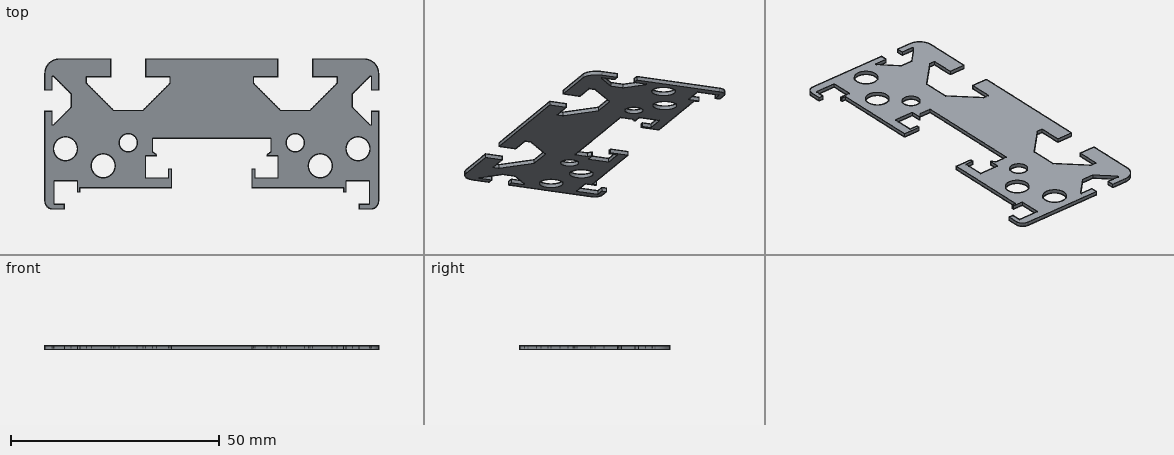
import cadquery as cq

length = 80.0
width = 36.0
thickness = 1.0
half_length = length / 2
upper_corner_radius = 3.5
lower_corner_radius = 2.0

top_slot_x = 20.0
top_slot_opening = 8.3
top_slot_lip = 4.3
top_slot_cavity_width = 20.0
top_slot_floor_width = 7.0
top_slot_depth = 12.3

end_slot_y = 26.0
end_slot_opening = 5.0
end_slot_lip = 1.8
end_slot_cavity_width = 11.6
end_slot_floor_width = 3.2
end_slot_depth = 6.3

underside_y = 5.1
recess_top_y = 17.0
recess_half_width = 14.2
tooth_half_width = 13.2
tooth_root_y = 13.8
tooth_tip_y = 13.0
tooth_base_y = 12.8
pocket_half_width = 15.8
pocket_floor_y = 7.5
lip_inner_half_width = 9.6
lip_outer_half_width = 10.4
lip_top_y = 9.7

corner_wall = 2.2
corner_pocket_width = 5.6
corner_pocket_top_y = 6.8
hook_thickness = 1.2
hook_reach = 4.7
nib_width = 0.6
nib_bottom_y = 4.1

large_hole = 5.7
small_hole = 4.3
holes = [
    (35.0, 14.5, large_hole),
    (26.0, 10.4, large_hole),
    (top_slot_x, 15.9, small_hole),
]


def extrude_outline(points):
    return cq.Workplane("XY").polyline(points).close().extrude(thickness)


def both_sides(solid):
    return solid.union(solid.mirror("YZ"))


def slot_cutter(opening, lip, cavity_width, floor_width, depth):
    """T-slot entering along -Y from an edge at Y = 0, centred on X = 0."""
    flank = (cavity_width - floor_width) / 2
    right_side = [
        (opening / 2, 0),
        (opening / 2, -lip),
        (cavity_width / 2, -lip),
        (cavity_width / 2, flank - depth),
        (floor_width / 2, -depth),
    ]
    left_side = [(-x, y) for x, y in reversed(right_side)]
    return extrude_outline(right_side + left_side)


def make_plate():
    plate = cq.Workplane("XY").box(length, width, thickness, centered=(True, False, False))
    plate = plate.edges("|Z and >Y").fillet(upper_corner_radius)
    return plate.edges("|Z and <Y").fillet(lower_corner_radius)


def make_top_slots():
    slot = slot_cutter(
        top_slot_opening, top_slot_lip, top_slot_cavity_width, top_slot_floor_width, top_slot_depth
    )
    return both_sides(slot.translate((top_slot_x, width, 0)))


def make_end_slots():
    slot = slot_cutter(
        end_slot_opening, end_slot_lip, end_slot_cavity_width, end_slot_floor_width, end_slot_depth
    )
    slot = slot.rotate((0, 0, 0), (0, 0, 1), -90)
    return both_sides(slot.translate((half_length, end_slot_y, 0)))


def make_lower_cutout():
    """Rail recess, step up to the underside and corner pocket as one region."""
    pocket_outer = half_length - corner_wall
    pocket_inner = pocket_outer - corner_pocket_width
    nib_inner = pocket_inner - nib_width
    hook_end = half_length - hook_reach
    right_half = extrude_outline([
        (0, 0),
        (0, recess_top_y),
        (recess_half_width, recess_top_y),
        (recess_half_width, tooth_root_y),
        (tooth_half_width, tooth_tip_y),
        (tooth_half_width, tooth_base_y),
        (pocket_half_width, tooth_base_y),
        (pocket_half_width, pocket_floor_y),
        (lip_outer_half_width, pocket_floor_y),
        (lip_outer_half_width, lip_top_y),
        (lip_inner_half_width, lip_top_y),
        (lip_inner_half_width, underside_y),
        (nib_inner, underside_y),
        (nib_inner, nib_bottom_y),
        (pocket_inner, nib_bottom_y),
        (pocket_inner, corner_pocket_top_y),
        (pocket_outer, corner_pocket_top_y),
        (pocket_outer, hook_thickness),
        (hook_end, hook_thickness),
        (hook_end, 0),
    ])
    return both_sides(right_half)


def make_holes():
    cutters = cq.Workplane("XY")
    for x, y, diameter in holes:
        cutters = cutters.union(cq.Workplane("XY").center(x, y).circle(diameter / 2).extrude(thickness))
    return both_sides(cutters)


result = (
    make_plate()
    .cut(make_top_slots())
    .cut(make_end_slots())
    .cut(make_lower_cutout())
    .cut(make_holes())
)